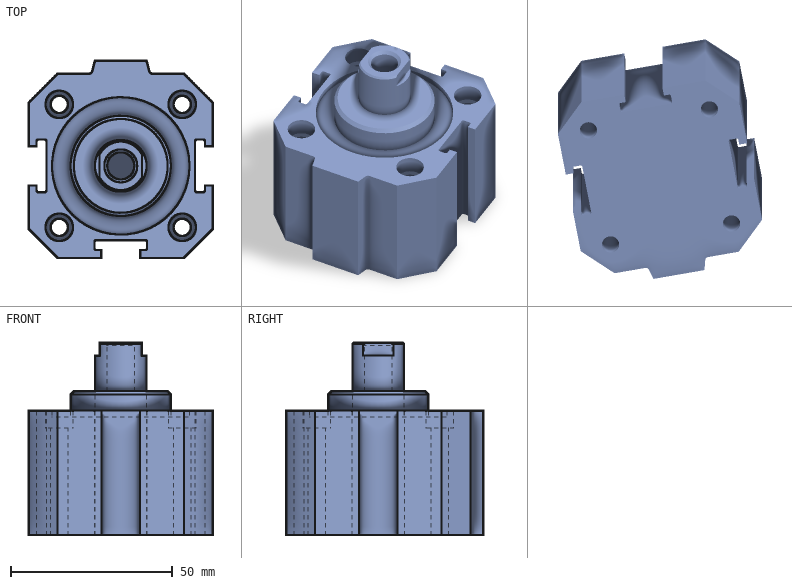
import cadquery as cq
import math

body_width = 57.0
body_height = 38.5
corner_chamfer = 9.0

slot_opening = 12.0
slot_inner_width = 16.2
slot_lip = 2.5
slot_depth = 5.5
slot_corner_radius = 0.5
slot_angles = (-90, 0, 90)

rib_height = 4.0
rib_top_width = 16.0
rib_flank_angle = 15.0
rib_root_radius = 1.0

mount_pitch = 38.0
mount_diameter = 5.3
counterbore_diameter = 8.5
counterbore_depth = 5.4

recess_diameter = 42.5
recess_depth = 2.0
collar_diameter = 31.0
collar_height = 6.0
collar_chamfer = 1.0

rod_diameter = 16.0
rod_protrusion = 15.0
rod_chamfer = 0.5
flats_width = 13.0
flats_height = 4.0
rod_hole_diameter = 8.38
rod_hole_mouth_diameter = 10.2
rod_hole_depth = 15.0

half_width = body_width / 2
recess_floor = body_height - recess_depth
collar_top = body_height + collar_height
rod_top = collar_top + rod_protrusion
rod_bottom = recess_floor


def cylinder(diameter, bottom, top):
    """Cylinder on the Z axis between two levels."""
    return (
        cq.Workplane("XY", origin=(0, 0, bottom))
        .circle(diameter / 2)
        .extrude(top - bottom)
    )


def make_slot_cutter():
    """Full-height T-slot opening through the -Y face."""
    opening = (
        cq.Workplane("XY", origin=(0, -half_width, 0))
        .rect(slot_opening, 2 * slot_depth)
        .extrude(body_height)
    )
    inner_depth = slot_depth - slot_lip
    inner_center_y = -half_width + slot_lip + inner_depth / 2
    inner = (
        cq.Workplane("XY", origin=(0, inner_center_y, 0))
        .rect(slot_inner_width, inner_depth)
        .extrude(body_height)
        .edges("|Z")
        .fillet(slot_corner_radius)
    )
    return opening.union(inner)


def make_profile():
    """Chamfered square prism with the tapered rib on its +Y face."""
    block = (
        cq.Workplane("XY")
        .rect(body_width, body_width)
        .extrude(body_height)
        .edges("|Z")
        .chamfer(corner_chamfer)
    )
    half_top = rib_top_width / 2
    half_root = half_top + rib_height * math.tan(math.radians(rib_flank_angle))
    rib_top_y = half_width + rib_height
    rib = (
        cq.Workplane("XY")
        .moveTo(-half_root, half_width)
        .lineTo(-half_top, rib_top_y)
        .lineTo(half_top, rib_top_y)
        .lineTo(half_root, half_width)
        .close()
        .extrude(body_height)
    )
    profile = block.union(rib)
    for root_x in (-half_root, half_root):
        root_point = (root_x, half_width, body_height / 2)
        root_edge = cq.selectors.NearestToPointSelector(root_point)
        profile = profile.edges(root_edge).fillet(rib_root_radius)
    return profile


def make_housing():
    housing = make_profile()

    slot_cutter = make_slot_cutter()
    for angle in slot_angles:
        housing = housing.cut(slot_cutter.rotate((0, 0, 0), (0, 0, 1), angle))

    housing = (
        housing.faces(">Z")
        .workplane(origin=(0, 0, body_height))
        .rect(mount_pitch, mount_pitch, forConstruction=True)
        .vertices()
        .cboreHole(mount_diameter, counterbore_diameter, counterbore_depth)
    )

    recess = cylinder(recess_diameter, recess_floor, body_height)
    collar = cylinder(collar_diameter, recess_floor, collar_top).faces(">Z").chamfer(collar_chamfer)
    rod_bore = cylinder(rod_diameter, rod_bottom, collar_top)
    return housing.cut(recess).union(collar).cut(rod_bore)


def make_rod():
    """Rod seated in the collar bore, its flats facing -X and +X."""
    rod = cylinder(rod_diameter, rod_bottom, rod_top).faces(">Z").chamfer(rod_chamfer)

    flats_cutter = (
        cq.Workplane("XY", origin=(0, 0, rod_top - flats_height))
        .pushPoints([(-flats_width, 0), (flats_width, 0)])
        .rect(flats_width, rod_diameter)
        .extrude(flats_height)
    )

    hole = cylinder(rod_hole_diameter, rod_top - rod_hole_depth, rod_top)
    mouth_depth = (rod_hole_mouth_diameter - rod_hole_diameter) / 2
    mouth = cq.Solid.makeCone(
        rod_hole_diameter / 2,
        rod_hole_mouth_diameter / 2,
        mouth_depth,
        pnt=cq.Vector(0, 0, rod_top - mouth_depth),
    )
    return rod.cut(flats_cutter).cut(hole).cut(cq.Workplane(mouth))


housing = make_housing()
rod = make_rod()
result = cq.Compound.makeCompound([housing.solids().val(), rod.solids().val()])